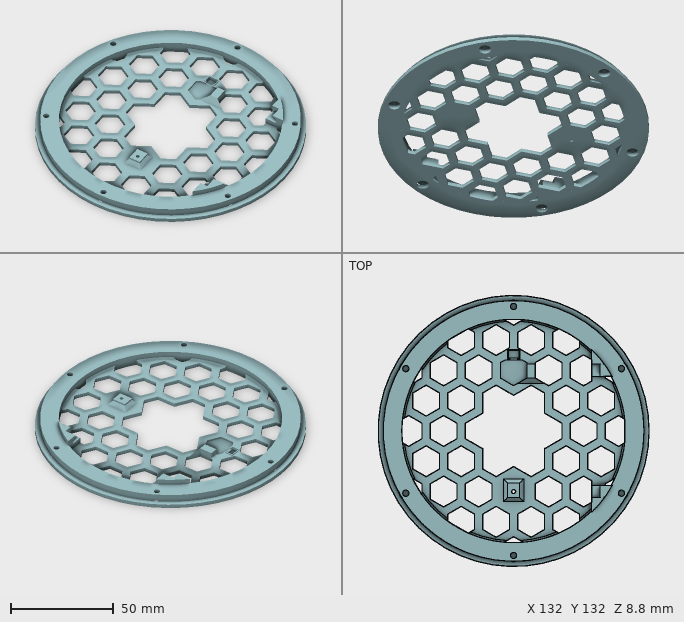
import cadquery as cq
import math

flange_diameter = 132.0
ring_diameter = 126.9
opening_diameter = 108.8
plate_thickness = 2.0
ring_height = 6.0
rim_bevel = 0.9

screw_count = 6
screw_circle_radius = 60.6
screw_diameter = 3.0
screw_head_diameter = 6.0
screw_head_depth = 2.4
screw_bridge = 0.3

cell_pitch = 17.0
cell_width = 13.0
row_pitch = cell_pitch * math.sqrt(3) / 2
cell_radius = cell_width / math.sqrt(3)
grid_reach = 4
mount_y = 2 * row_pitch

seat_height = 5.0
seat_width = 6.0
clip_height = 8.8
clip_inner_x = 38.0
clip_outer_diameter = 109.7
clip_step = 4.0
undercut_size = 2.1
peg_length = 7.1
peg_step = 0.9
peg_slope = 2.0
peg_hole_diameter = 1.8
block_slope = 2.8

cell_recess_depth = 0.99
cell_recess_reach = 5.0

frame_width = 6.1
frame_length = 4.5
frame_wall = 0.46
frame_rise = 0.5
frame_center_y = 37.4
pocket_floor = 0.3
gap_width = 3.5
gap_floor = 1.2


def box(x_range, y_range, z_range):
    """Axis-aligned box between the given limits."""
    return (
        cq.Workplane("XY")
        .box(x_range[1] - x_range[0], y_range[1] - y_range[0], z_range[1] - z_range[0], centered=False)
        .translate((x_range[0], y_range[0], z_range[0]))
    )


def disc(diameter, height):
    return cq.Workplane("XY").circle(diameter / 2).extrude(height)


def cell_centers():
    """Honeycomb positions outside the central star and clear of the two filled cells."""
    star_limit = (cell_pitch + row_pitch * 2) / 2
    centers = []
    for row in range(-grid_reach, grid_reach + 1):
        for column in range(-grid_reach, grid_reach + 1):
            x = (column + (row % 2) / 2) * cell_pitch
            y = row * row_pitch
            in_star = math.hypot(x, y) < star_limit
            filled = column == 0 and abs(row) == 2
            if not in_star and not filled:
                centers.append((x, y))
    return centers


def cells(centers, bottom, height):
    """Hexagonal prisms with a corner pointing along +Y."""
    corners = [
        (cell_radius * math.sin(math.radians(60 * k)), cell_radius * math.cos(math.radians(60 * k)))
        for k in range(6)
    ]
    prism = cq.Workplane("XY").polyline(corners).close().extrude(height).val()
    return cq.Workplane("XY", origin=(0, 0, bottom)).pushPoints(centers).eachpoint(prism)


def star_opening():
    """Central cell merged with its six neighbours, leaving pointed webs between the lobes."""
    web = cell_pitch - cell_width
    notch_radius = row_pitch + cell_radius / 2 - web / 2 * math.tan(math.radians(30))
    lobe_radius = math.hypot(cell_pitch / 2, row_pitch + cell_radius)
    lobe_angle = math.degrees(math.atan2(cell_pitch / 2, row_pitch + cell_radius))
    points = []
    for k in range(6):
        for radius, turn in ((notch_radius, 0), (lobe_radius, lobe_angle), (lobe_radius, 60 - lobe_angle)):
            angle = math.radians(60 * k + turn)
            points.append((radius * math.sin(angle), radius * math.cos(angle)))
    return cq.Workplane("XY").polyline(points).close().extrude(ring_height)


def grille():
    """Perforated plate with a bevelled rim along the ring wall."""
    opening_radius = opening_diameter / 2
    plate = disc(opening_diameter, plate_thickness + rim_bevel)
    hollow = cq.Workplane("XY", origin=(0, 0, plate_thickness)).circle(opening_radius - rim_bevel)
    hollow = hollow.workplane(offset=rim_bevel).circle(opening_radius).loft()
    return plate.cut(hollow).cut(star_opening()).cut(cells(cell_centers(), 0, ring_height))


def screw_pattern(diameter, bottom, height):
    """Cylinders at the screw positions around the ring."""
    pattern = cq.Workplane("XY", origin=(0, 0, bottom))
    pattern = pattern.polarArray(screw_circle_radius, 90, 360, screw_count)
    return pattern.circle(diameter / 2).extrude(height)


def ring():
    """Flanged ring with the screw holes."""
    body = disc(flange_diameter, plate_thickness).union(disc(ring_diameter, ring_height))
    body = body.cut(disc(opening_diameter, ring_height))
    bore_start = screw_head_depth + screw_bridge
    body = body.cut(screw_pattern(screw_head_diameter, 0, screw_head_depth))
    body = body.cut(screw_pattern(screw_diameter, bore_start, ring_height - bore_start))
    return body


def clip():
    """Corner clip against the ring wall, with a seat and an undercut catch."""
    outer_radius = clip_outer_diameter / 2
    near_y = mount_y - seat_width / 2
    far_y = mount_y + seat_width / 2
    body = box((clip_inner_x, outer_radius), (near_y, outer_radius), (0, clip_height))
    cell_fill = box(
        (clip_inner_x, 2 * cell_pitch + cell_width / 2), (mount_y - cell_radius, mount_y), (0, plate_thickness)
    )
    body = body.union(cell_fill).intersect(disc(clip_outer_diameter, clip_height))
    catch_x = clip_inner_x + clip_step
    seat = [
        (clip_inner_x, seat_height),
        (catch_x + undercut_size, seat_height),
        (catch_x + undercut_size, clip_height - undercut_size),
        (catch_x, clip_height),
        (clip_inner_x, clip_height),
    ]
    notch = cq.Workplane("XZ", origin=(0, far_y, 0)).polyline(seat).close().extrude(far_y - near_y)
    return body.cut(notch)


def peg():
    """Seat with sloped flanks on the lower filled cell."""
    outer_y = -mount_y - seat_width / 2
    center_y = outer_y + peg_length / 2
    slope_top = seat_height - peg_step
    flank = (
        cq.Workplane("XY", origin=(0, center_y, plate_thickness))
        .rect(seat_width + 2 * peg_slope, peg_length + 2 * peg_slope)
        .workplane(offset=slope_top - plate_thickness)
        .rect(seat_width, peg_length)
        .loft()
    )
    top = cq.Workplane("XY", origin=(0, center_y, slope_top)).rect(seat_width, peg_length).extrude(peg_step)
    return flank.union(top)


def support_block():
    """Sloped block on the web beside the recessed cell."""
    outer_y = mount_y + seat_width / 2
    crest_y = mount_y - cell_radius / 2
    profile = [
        (outer_y, 0),
        (outer_y, seat_height),
        (crest_y, seat_height),
        (crest_y - block_slope, plate_thickness),
        (crest_y - block_slope, 0),
    ]
    block = cq.Workplane("YZ").polyline(profile).close().extrude(cell_pitch)
    return block.cut(cells([(0, mount_y), (cell_pitch, mount_y)], 0, clip_height))


def cell_recess():
    """Shallow hexagonal recess with its outer corner cut straight."""
    prism = cells([(0, mount_y)], plate_thickness - cell_recess_depth, cell_recess_depth)
    limit = box((-cell_width, cell_width), (0, mount_y + cell_recess_reach), (0, plate_thickness))
    return prism.intersect(limit)


def frame():
    """Raised rectangle around the pocket."""
    start = cq.Workplane("XY", origin=(0, frame_center_y, 0))
    return start.rect(frame_width, frame_length).extrude(plate_thickness + frame_rise)


def frame_pocket():
    """Pocket inside the frame together with the gap that leads into the cell recess."""
    frame_top = plate_thickness + frame_rise
    start = cq.Workplane("XY", origin=(0, frame_center_y, pocket_floor))
    pocket = start.rect(frame_width - 2 * frame_wall, frame_length - 2 * frame_wall)
    gap_x = gap_width / 2
    gap = box((-gap_x, gap_x), (mount_y + cell_recess_reach, frame_center_y), (gap_floor, frame_top))
    return pocket.extrude(frame_top - pocket_floor).union(gap)


result = ring().union(grille()).union(clip()).union(clip().mirror("XZ"))
result = result.union(peg()).union(support_block()).union(frame())
result = result.cut(cell_recess()).cut(frame_pocket())
peg_hole = cq.Workplane("XY").center(0, -mount_y).circle(peg_hole_diameter / 2).extrude(seat_height)
result = result.cut(peg_hole)